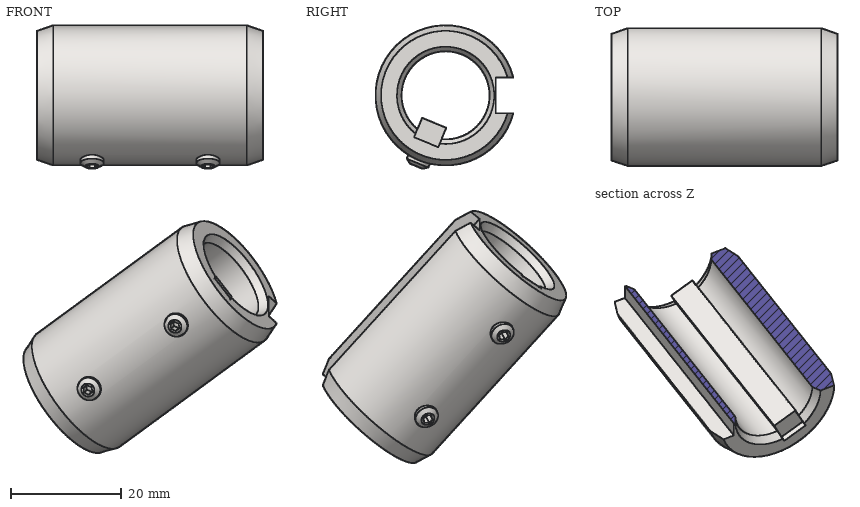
import cadquery as cq
import math

length = 41.0
outer_radius = 12.7
bore_radius = 7.95
end_taper_length = 3.0
end_taper_depth = 1.02
bore_chamfer_depth = 0.85
bore_chamfer_length = 1.5

slot_width = 6.45
slot_floor = 9.1

tilt_angle = 22.5
key_width = 4.75
key_inner = 5.37
key_outer = 9.2
key_setback = 1.1
key_length = length - 2 * key_setback

screw_spacing = 21.0
screw_radius = 2.15
screw_tip = 13.9
bevel_height = 0.6
bevel_depth = 0.9
socket_width = 1.55
socket_depth = 2.05
screw_positions = [-screw_spacing / 2, screw_spacing / 2]


def tilt(shape):
    """Turn a shape built on -Z to the key direction."""
    return shape.rotate((0, 0, 0), (1, 0, 0), -tilt_angle)


def key_bar(bar_length):
    """Rectangular bar along X with the cross-section of the key."""
    bar = cq.Workplane("XY").box(bar_length, key_width, key_outer - key_inner)
    return tilt(bar.translate((0, 0, -(key_inner + key_outer) / 2)))


def screw_blank(x):
    """Plain cylinder from the keyway floor to the outer end of a screw."""
    blank = (
        cq.Workplane("XY", origin=(x, 0, -screw_tip))
        .circle(screw_radius)
        .extrude(screw_tip - key_outer)
    )
    return blank


def make_sleeve():
    half = length / 2
    end_radius = outer_radius - end_taper_depth
    mouth_radius = bore_radius + bore_chamfer_depth
    profile = [
        (-half, mouth_radius),
        (-half, end_radius),
        (-half + end_taper_length, outer_radius),
        (half - end_taper_length, outer_radius),
        (half, end_radius),
        (half, mouth_radius),
        (half - bore_chamfer_length, bore_radius),
        (-half + bore_chamfer_length, bore_radius),
    ]
    sleeve = cq.Workplane("XZ").polyline(profile).close().revolve(360, (0, 0, 0), (1, 0, 0))

    slot = cq.Workplane("XY").box(length, outer_radius, slot_width)
    sleeve = sleeve.cut(slot.translate((0, slot_floor + outer_radius / 2, 0)))

    sleeve = sleeve.cut(key_bar(length))
    for x in screw_positions:
        sleeve = sleeve.cut(tilt(screw_blank(x)))
    return sleeve


def make_screw(x):
    screw = screw_blank(x).faces("<Z").chamfer(bevel_height, bevel_depth)
    socket_diameter = socket_width / math.cos(math.radians(30))
    socket = (
        cq.Workplane("XY", origin=(x, 0, -screw_tip))
        .polygon(6, socket_diameter)
        .extrude(socket_depth)
    )
    return tilt(screw.cut(socket))


sleeve = make_sleeve()
key = key_bar(key_length)
set_screws = [make_screw(x) for x in screw_positions]

result = cq.Compound.makeCompound([sleeve.val(), key.val(), *[screw.val() for screw in set_screws]])